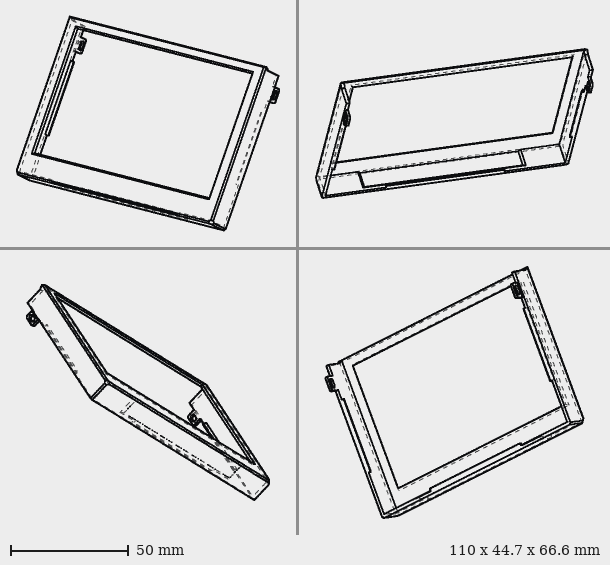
import cadquery as cq
import math


WIDTH = 110.0
HEIGHT = 71.2
DEPTH = 10.7
TILT = 60.0
WALL = 1.5
PLATE = 0.9
EDGE_CHAMFER = 0.8
CORNER_CUT = 2.4

SIDE_HEIGHT = 70.1
RAMP_DEPTH = 1.4
RAMP_RISE = 0.8
STEP_DEPTH = 0.3

WINDOW_WIDTH = 99.2
WINDOW_BOTTOM = 9.9
WINDOW_TOP = 67.6
WINDOW_BEVEL = 0.8

RECESS_DEPTH = 1.0
RECESS_BACK = 1.4
RECESS_OVERRUN = 9.9
TOOTH_HEIGHT = 1.0
BOTTOM_TOOTH_LENGTH = 52.8
SIDE_TOOTH_LENGTH = 33.3
SIDE_TOOTH_CENTRE = 37.3

TAB_CENTRE = 61.8
TAB_LENGTH = 6.6
TAB_REACH = 4.2
TAB_INSET = 0.3
TAB_RAMP = 0.5
TAB_CORNER_RADIUS = 1.0
SLOT_LENGTH = 4.0
SLOT_WIDTH = 2.1
SLOT_REACH = 2.2

PLATE_BACK = DEPTH - PLATE


def make_shell():
    """Front face with a bottom wall and two side walls, outer edges chamfered."""
    ramp_start = PLATE_BACK - RAMP_DEPTH
    lip_slant = PLATE / math.tan(math.radians(TILT))
    profile = [
        (0, 0),
        (SIDE_HEIGHT, 0),
        (SIDE_HEIGHT, ramp_start - STEP_DEPTH),
        (HEIGHT - RAMP_RISE, ramp_start),
        (HEIGHT, PLATE_BACK),
        (HEIGHT - lip_slant, DEPTH),
        (0, DEPTH),
    ]
    shell = cq.Workplane("YZ").polyline(profile).close().extrude(WIDTH / 2, both=True)
    shell = shell.edges("|Z and <Y").chamfer(EDGE_CHAMFER)
    shell = shell.faces(">Z").edges("not >Y").chamfer(EDGE_CHAMFER)
    for side in (-1, 1):
        shell = shell.cut(make_corner_cut(side))
    cavity = cq.Workplane("XY").box(WIDTH - 2 * WALL, HEIGHT, PLATE_BACK, centered=(True, False, False))
    return shell.cut(cavity.translate((0, WALL, 0)))


def make_corner_cut(side):
    """Block whose inner face slants equally across a lower front corner; side is -1 or 1."""
    inset = CORNER_CUT / 3
    facet = cq.Plane(
        origin=(side * (WIDTH / 2 - inset), inset, DEPTH - inset),
        xDir=(side, 1, 0),
        normal=(side, -1, 1),
    )
    return cq.Workplane(facet).rect(3 * CORNER_CUT, 3 * CORNER_CUT).extrude(CORNER_CUT)


def make_window():
    """Opening bevelled through the full thickness of the front face."""
    bevel_angle = math.degrees(math.atan(WINDOW_BEVEL / PLATE))
    return (
        cq.Workplane("XY")
        .workplane(offset=DEPTH)
        .center(0, (WINDOW_TOP + WINDOW_BOTTOM) / 2)
        .rect(WINDOW_WIDTH, WINDOW_TOP - WINDOW_BOTTOM)
        .extrude(-PLATE, taper=bevel_angle)
    )


def make_tooth(length):
    """Sloped tooth along the back edge of a wall that runs along X with its inner face at Y = 0."""
    return (
        cq.Workplane("YZ")
        .polyline([
            (-RECESS_DEPTH, 0),
            (TOOTH_HEIGHT, 0),
            (TOOTH_HEIGHT, RECESS_BACK - TOOTH_HEIGHT),
            (-RECESS_DEPTH, RECESS_BACK + RECESS_DEPTH),
        ])
        .close()
        .extrude(length / 2, both=True)
    )


def make_recess():
    """Pocket in the inner face of the bottom wall, its back and ends sloped at 45 degrees."""
    half_length = BOTTOM_TOOTH_LENGTH / 2 + RECESS_OVERRUN
    half_floor = half_length - RECESS_DEPTH
    section = (
        cq.Workplane("YZ")
        .polyline([
            (0, RECESS_BACK),
            (-RECESS_DEPTH, RECESS_BACK + RECESS_DEPTH),
            (-RECESS_DEPTH, PLATE_BACK),
            (0, PLATE_BACK),
        ])
        .close()
        .extrude(half_length, both=True)
    )
    outline = (
        cq.Workplane("XY")
        .polyline([(-half_length, 0), (-half_floor, -RECESS_DEPTH), (half_floor, -RECESS_DEPTH), (half_length, 0)])
        .close()
        .extrude(DEPTH)
    )
    return section.intersect(outline)


def make_tab():
    """Slotted tab behind the right-hand side wall, ramped in from the wall's outer face."""
    outer = WIDTH / 2
    inner = outer - WALL
    tab = (
        cq.Workplane("XZ")
        .polyline([
            (inner, 0),
            (outer, 0),
            (outer - TAB_INSET, -TAB_RAMP),
            (outer - TAB_INSET, -TAB_REACH),
            (inner, -TAB_REACH),
        ])
        .close()
        .extrude(TAB_LENGTH / 2, both=True)
        .edges("|X and <Z")
        .fillet(TAB_CORNER_RADIUS)
    )
    slot = (
        cq.Workplane("YZ")
        .center(0, -SLOT_REACH)
        .slot2D(SLOT_LENGTH, SLOT_WIDTH)
        .extrude(WIDTH)
    )
    return tab.cut(slot).translate((0, TAB_CENTRE, 0))


bezel = make_shell().cut(make_window())

bezel = bezel.cut(make_recess().translate((0, WALL, 0)))
bezel = bezel.union(make_tooth(BOTTOM_TOOTH_LENGTH).translate((0, WALL, 0)))

side_tooth = (
    make_tooth(SIDE_TOOTH_LENGTH)
    .rotate((0, 0, 0), (0, 0, 1), 90)
    .translate((WIDTH / 2 - WALL, SIDE_TOOTH_CENTRE, 0))
)
for right_side in (side_tooth, make_tab()):
    bezel = bezel.union(right_side).union(right_side.mirror("YZ"))

result = bezel.rotate((0, 0, 0), (1, 0, 0), TILT)